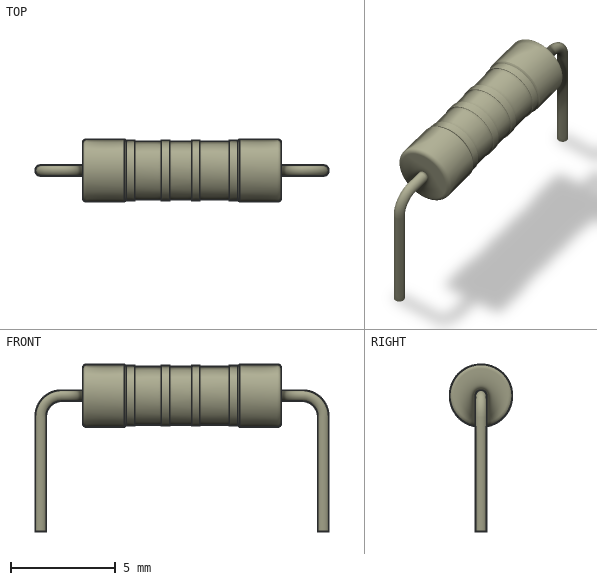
import cadquery as cq

overall_length = 14.04
overall_height = 8.0

body_length = 9.5
cap_length = 2.09
cap_radius = 1.5
cap_outer_fillet = 0.2
sleeve_radius = 1.4

band_radius = 1.45
end_band_width = 0.4
wide_band_width = 0.42
wide_band_x = -0.79
narrow_band_width = 0.38
narrow_band_x = 0.66

wire_diameter = 0.53
bend_radius = 1.0

cap_center_x = (body_length - cap_length) / 2
end_band_x = body_length / 2 - cap_length - end_band_width / 2
lead_x = (overall_length - wire_diameter) / 2
lead_bottom_z = cap_radius - overall_height


def make_cylinder(center_x, width, radius):
    """Cylinder along X, centred at center_x."""
    return cq.Workplane("YZ", origin=(center_x - width / 2, 0, 0)).circle(radius).extrude(width)


def make_cap(side):
    """End cap with a rounded outer rim and a chamfered inner rim."""
    outer_face, inner_face = (">X", "<X") if side > 0 else ("<X", ">X")
    cap = make_cylinder(side * cap_center_x, cap_length, cap_radius)
    cap = cap.faces(outer_face).edges().fillet(cap_outer_fillet)
    return cap.faces(inner_face).edges().chamfer(cap_radius - sleeve_radius)


def make_lead(side):
    """Round wire leaving the cap along X and bending down to a vertical leg."""
    start_x = side * cap_center_x
    path = (
        cq.Workplane("XZ")
        .moveTo(start_x, 0)
        .lineTo(side * (lead_x - bend_radius), 0)
        .tangentArcPoint((side * lead_x, -bend_radius), relative=False)
        .lineTo(side * lead_x, lead_bottom_z)
    )
    return cq.Workplane("YZ", origin=(start_x, 0, 0)).circle(wire_diameter / 2).sweep(path)


result = make_cylinder(0, 2 * cap_center_x, sleeve_radius)
result = result.union(make_cylinder(wide_band_x, wide_band_width, band_radius))
result = result.union(make_cylinder(narrow_band_x, narrow_band_width, band_radius))

for side in (-1, 1):
    result = result.union(make_cap(side))
    result = result.union(make_cylinder(side * end_band_x, end_band_width, band_radius))
    result = result.union(make_lead(side))